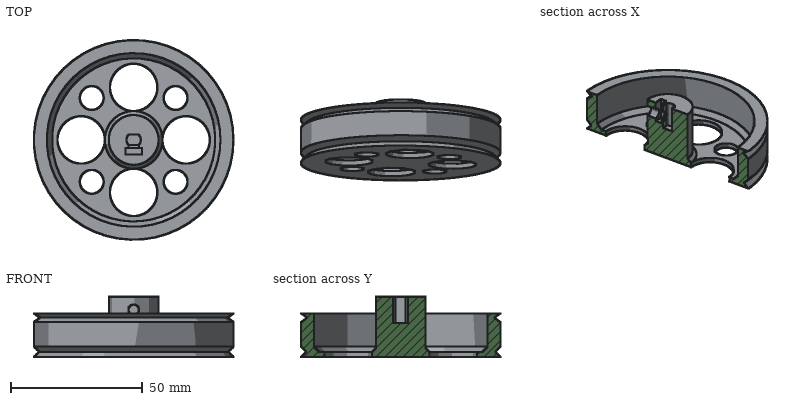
import cadquery as cq

inner_diameter = 66.19
rim_wall = 5.0
rim_radius = inner_diameter / 2 + rim_wall
rim_height = 16.67
lower_groove_depth = 2.0
upper_groove_depth = 2.25
lower_groove_width = 4.0
upper_groove_width = 3.34
rim_foot_chamfer = 2.0

web_thickness = 2.0
large_hole_diameter = 18.0
large_hole_circle_radius = 20.0
large_hole_start_angle = 0.0
small_hole_diameter = 9.0
small_hole_circle_radius = 22.6
small_hole_start_angle = 45.0
holes_per_circle = 4

hub_diameter = 19.0
hub_height = 23.0
hub_foot_chamfer = 1.5

shaft_diameter = 5.5
shaft_flat_width = 4.0
shaft_bore_depth = 10.0

screw_diameter = 4.0
screw_height = 18.0
nut_slot_length = 6.3
nut_slot_width = 2.5
nut_slot_center_y = -4.25
nut_slot_depth = hub_height - screw_height + nut_slot_length / 2


def wheel_body():
    """Rim, web and hub as one turned profile in the radius-height plane."""
    inner_radius = inner_diameter / 2
    hub_radius = hub_diameter / 2
    profile = (
        cq.Workplane("XZ")
        .moveTo(0, 0)
        .lineTo(rim_radius, 0)
        .lineTo(rim_radius - lower_groove_depth, lower_groove_width / 2)
        .lineTo(rim_radius, lower_groove_width)
        .lineTo(rim_radius, rim_height - upper_groove_width)
        .lineTo(rim_radius - upper_groove_depth, rim_height - upper_groove_width / 2)
        .lineTo(rim_radius, rim_height)
        .lineTo(inner_radius, rim_height)
        .lineTo(inner_radius, web_thickness + rim_foot_chamfer)
        .lineTo(inner_radius - rim_foot_chamfer, web_thickness)
        .lineTo(hub_radius + hub_foot_chamfer, web_thickness)
        .lineTo(hub_radius, web_thickness + hub_foot_chamfer)
        .lineTo(hub_radius, hub_height)
        .lineTo(0, hub_height)
        .close()
    )
    return profile.revolve(360, (0, 0, 0), (0, 1, 0))


def web_holes(diameter, circle_radius, start_angle):
    """Cutters for one ring of evenly spaced holes through the web."""
    return (
        cq.Workplane("XY")
        .polarArray(circle_radius, start_angle, 360, holes_per_circle)
        .circle(diameter / 2)
        .extrude(web_thickness)
    )


def shaft_bore():
    """Blind round bore with flats facing -Y and +Y."""
    bore = cq.Workplane("XY").circle(shaft_diameter / 2).extrude(-shaft_bore_depth)
    flats = cq.Workplane("XY").rect(shaft_diameter, shaft_flat_width).extrude(-shaft_bore_depth)
    return bore.intersect(flats).translate((0, 0, hub_height))


def nut_slot():
    """Pocket for the nut, sunk from the hub top past the screw hole."""
    return (
        cq.Workplane("XY", origin=(0, nut_slot_center_y, hub_height))
        .rect(nut_slot_length, nut_slot_width)
        .extrude(-nut_slot_depth)
    )


def screw_hole():
    """Radial hole from the -Y side of the hub to the shaft axis."""
    return (
        cq.Workplane("XZ", origin=(0, 0, screw_height))
        .circle(screw_diameter / 2)
        .extrude(hub_diameter / 2)
    )


result = (
    wheel_body()
    .cut(web_holes(large_hole_diameter, large_hole_circle_radius, large_hole_start_angle))
    .cut(web_holes(small_hole_diameter, small_hole_circle_radius, small_hole_start_angle))
    .cut(shaft_bore())
    .cut(nut_slot())
    .cut(screw_hole())
)